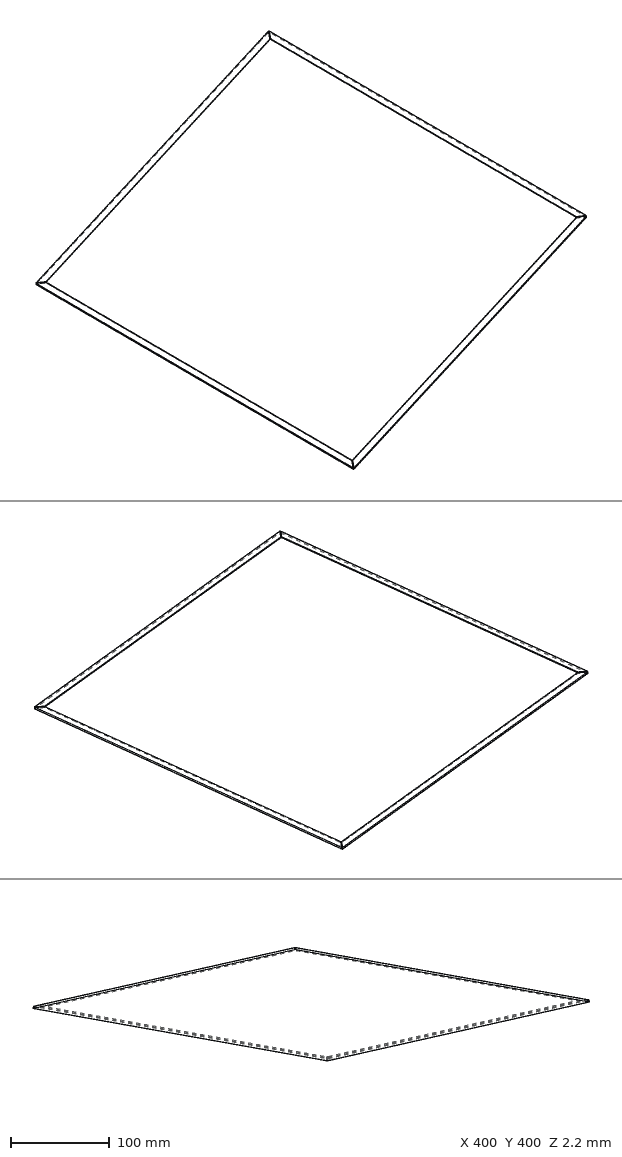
import cadquery as cq

side = 400.0
total_thickness = 2.2
rim_height = 1.2
rim_width = 7.2
mitre_gap = 1.0

sheet_thickness = total_thickness - rim_height
opening_side = side - 2 * rim_width
mitre_angles = (45, 135)


def make_sheet():
    """Flat square sheet resting on Z = 0."""
    return cq.Workplane("XY").rect(side, side).extrude(sheet_thickness)


def make_rim():
    """Square frame on top of the sheet, flush with its outer edges."""
    return (
        cq.Workplane("XY", origin=(0, 0, sheet_thickness))
        .rect(side, side)
        .rect(opening_side, opening_side)
        .extrude(rim_height)
    )


def make_mitre_cutter(angle):
    """Thin bar along one diagonal, parting the rim at two opposite corners."""
    cutter_length = 2 * side
    return (
        cq.Workplane("XY", origin=(0, 0, sheet_thickness))
        .rect(cutter_length, mitre_gap)
        .extrude(rim_height)
        .rotate((0, 0, 0), (0, 0, 1), angle)
    )


rim_strips = make_rim()
for mitre_angle in mitre_angles:
    rim_strips = rim_strips.cut(make_mitre_cutter(mitre_angle))

result = make_sheet().union(rim_strips, clean=False)